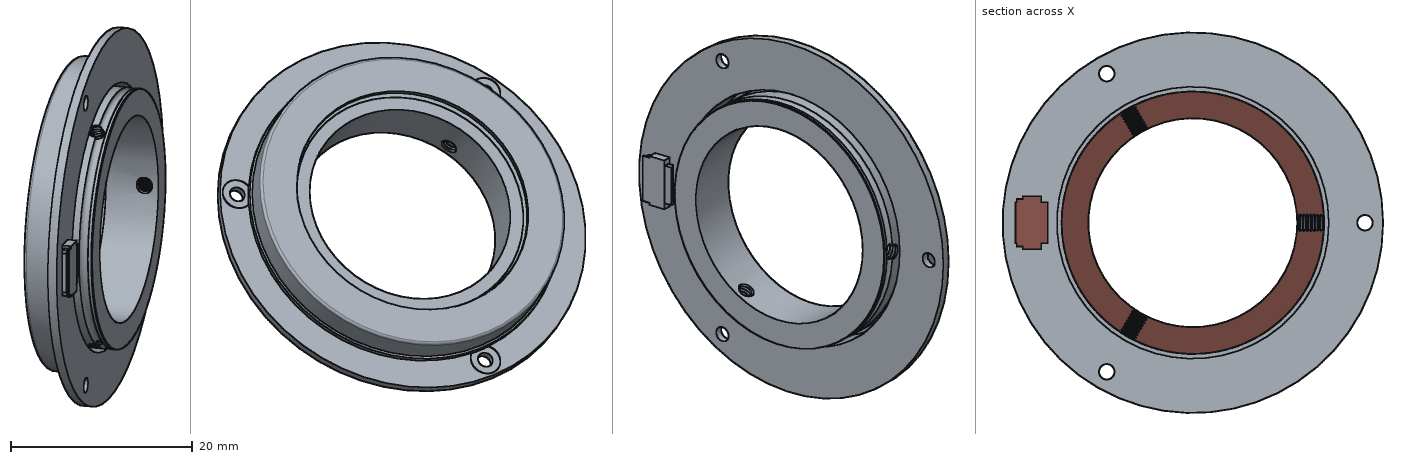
import cadquery as cq
import math

TOTAL_LENGTH = 7.0

CAP_DIAMETER = 35.0
CAP_LENGTH = 3.2
CAP_FRONT_THICKNESS = 0.5
CAP_FILLET = 0.3
CAP_MOUTH_DIAMETER = 26.6

SPIGOT_DIAMETER = 34.0
STEP_DIAMETER = 35.5
STEP_FRONT = 3.28
FLANGE_DIAMETER = 42.0
FLANGE_FRONT = 3.82
FLANGE_THICKNESS = 1.0
FLANGE_BACK = FLANGE_FRONT + FLANGE_THICKNESS
BASE_BORE_DIAMETER = 30.0

FLANGE_HOLE_DIAMETER = 1.7
FLANGE_HOLE_CIRCLE_RADIUS = 19.0
SPOTFACE_DIAMETER = 3.4
SPOTFACE_DEPTH = 0.1

INNER_FACE = 1.0
HUB_BORE_DIAMETER = 23.0
HUB_FRONT_DIAMETER = 26.0
HUB_SHOULDER = FLANGE_FRONT
NECK_DIAMETER = 29.0
NECK_TAPER_LENGTH = 0.13
NECK_TAPER_DEPTH = 0.05
GROOVE_CENTER = 6.0
GROOVE_WIDTH = 1.0
GROOVE_DEPTH = 0.5

RING_BORE_DIAMETER = 26.05
RING_DIAMETER = NECK_DIAMETER

THREAD_X = 5.4
THREAD_MAJOR_DIAMETER = 1.85
THREAD_MINOR_DIAMETER = 1.45
THREAD_PITCH = 0.38
THREAD_START = 10.9
THREAD_TURNS = 11

PATTERN_ANGLES = (0, 120, 240)

CONNECTOR_BACK = 5.9
SHELL_INNER_Y = -16.7
SHELL_OUTER_Y = -18.77
SHELL_WIDTH = 5.9
TAB_WIDTH = 4.55
TAB_FRONT = 5.05
TAB_OUTER_Y = -19.57
TAB_ROOT_WIDTH = 5.3
TAB_ROOT_OUTER_Y = -19.45
FLARE_FRONT = 5.55
LIP_FRONT = 5.7
LIP_WIDTH = 5.45
LIP_OUTER_Y = -19.65
NOSE_WIDTH = TAB_WIDTH
NOSE_TIP_Y = -15.85
NOSE_SHOULDER_Y = -16.13
NOSE_FRONT = 5.05
NOSE_TIP_FRONT = 5.4
NOSE_BACK = 5.75
FOOT_INNER_Y = -16.3
FOOT_WIDTH = 4.2


def disc(diameter, start, end):
    """Solid cylinder along X between two stations."""
    return cq.Workplane("YZ").workplane(offset=start).circle(diameter / 2).extrude(end - start)


def flange_hole_cylinders(diameter, depth):
    """One cylinder at each mounting hole, running back from the front of the flange."""
    centers = [
        (
            FLANGE_HOLE_CIRCLE_RADIUS * math.cos(math.radians(angle)),
            FLANGE_HOLE_CIRCLE_RADIUS * math.sin(math.radians(angle)),
        )
        for angle in PATTERN_ANGLES
    ]
    return (
        cq.Workplane("YZ").workplane(offset=FLANGE_FRONT)
        .pushPoints(centers).circle(diameter / 2).extrude(depth)
    )


def make_cap():
    shell = disc(CAP_DIAMETER, 0, CAP_LENGTH).faces("<X").edges().fillet(CAP_FILLET)
    cavity = disc(SPIGOT_DIAMETER, CAP_FRONT_THICKNESS, CAP_LENGTH)
    return shell.cut(cavity).cut(disc(CAP_MOUTH_DIAMETER, 0, CAP_FRONT_THICKNESS))


def make_base():
    flange = (
        disc(FLANGE_DIAMETER, FLANGE_FRONT, FLANGE_BACK)
        .cut(flange_hole_cylinders(FLANGE_HOLE_DIAMETER, FLANGE_THICKNESS))
        .cut(flange_hole_cylinders(SPOTFACE_DIAMETER, SPOTFACE_DEPTH))
    )
    step = disc(STEP_DIAMETER, STEP_FRONT, FLANGE_BACK)
    spigot = disc(SPIGOT_DIAMETER, INNER_FACE, STEP_FRONT)
    bore = disc(BASE_BORE_DIAMETER, INNER_FACE, FLANGE_BACK)
    return flange.union(step).union(spigot).cut(bore)


def make_threaded_hole(angle):
    """Cutter for one radial hole, its thread formed as a stack of V-shaped rings."""
    minor_radius = THREAD_MINOR_DIAMETER / 2
    major_radius = THREAD_MAJOR_DIAMETER / 2
    profile = [(0, THREAD_START), (minor_radius, THREAD_START)]
    for turn in range(THREAD_TURNS):
        turn_start = THREAD_START + turn * THREAD_PITCH
        profile.append((major_radius, turn_start + THREAD_PITCH / 2))
        profile.append((minor_radius, turn_start + THREAD_PITCH))
    profile.append((0, THREAD_START + THREAD_TURNS * THREAD_PITCH))
    cutter = cq.Workplane("XY").polyline(profile).close().revolve(360, (0, 0, 0), (0, 1, 0))
    return cutter.translate((THREAD_X, 0, 0)).rotate((0, 0, 0), (1, 0, 0), angle)


def make_hub():
    front_radius = HUB_FRONT_DIAMETER / 2
    neck_radius = NECK_DIAMETER / 2
    bore_radius = HUB_BORE_DIAMETER / 2
    profile = (
        cq.Workplane("XY")
        .moveTo(INNER_FACE, bore_radius)
        .lineTo(INNER_FACE, front_radius)
        .lineTo(HUB_SHOULDER, front_radius)
        .lineTo(HUB_SHOULDER, neck_radius)
        .lineTo(GROOVE_CENTER - GROOVE_WIDTH / 2, neck_radius)
        .threePointArc(
            (GROOVE_CENTER, neck_radius - GROOVE_DEPTH),
            (GROOVE_CENTER + GROOVE_WIDTH / 2, neck_radius),
        )
        .lineTo(TOTAL_LENGTH - NECK_TAPER_LENGTH, neck_radius)
        .lineTo(TOTAL_LENGTH, neck_radius - NECK_TAPER_DEPTH)
        .lineTo(TOTAL_LENGTH, bore_radius)
        .close()
    )
    hub = profile.revolve(360, (0, 0, 0), (1, 0, 0))
    for angle in PATTERN_ANGLES:
        hub = hub.cut(make_threaded_hole(angle))
    return hub


def make_ring():
    ring = disc(RING_DIAMETER, INNER_FACE, HUB_SHOULDER)
    return ring.cut(disc(RING_BORE_DIAMETER, INNER_FACE, HUB_SHOULDER))


def box_between(x_range, y_range, width):
    """Box between two X and two Y limits, centred on z = 0."""
    box = cq.Workplane("XY").box(
        x_range[1] - x_range[0], y_range[1] - y_range[0], width, centered=(False, False, True)
    )
    return box.translate((x_range[0], y_range[0], 0))


def make_flare():
    """Transition that widens from the tab to the lip."""
    tab_depth = SHELL_OUTER_Y - TAB_OUTER_Y
    lip_depth = SHELL_OUTER_Y - LIP_OUTER_Y
    return (
        cq.Workplane("YZ").workplane(offset=FLARE_FRONT)
        .center(SHELL_OUTER_Y - tab_depth / 2, 0).rect(tab_depth, TAB_WIDTH)
        .workplane(offset=LIP_FRONT - FLARE_FRONT)
        .center((tab_depth - lip_depth) / 2, 0).rect(lip_depth, LIP_WIDTH)
        .loft(ruled=True)
    )


def make_connector():
    shell = box_between((FLANGE_BACK, CONNECTOR_BACK), (SHELL_OUTER_Y, SHELL_INNER_Y), SHELL_WIDTH)
    tab = box_between((TAB_FRONT, FLARE_FRONT), (TAB_OUTER_Y, SHELL_OUTER_Y), TAB_WIDTH)
    tab_root = box_between(
        (TAB_FRONT, FLARE_FRONT), (TAB_ROOT_OUTER_Y, SHELL_OUTER_Y), TAB_ROOT_WIDTH
    )
    lip = box_between((LIP_FRONT, CONNECTOR_BACK), (LIP_OUTER_Y, SHELL_OUTER_Y), LIP_WIDTH)
    foot = box_between((FLANGE_BACK, NOSE_FRONT), (SHELL_INNER_Y, FOOT_INNER_Y), FOOT_WIDTH)
    nose = (
        cq.Workplane("XY")
        .moveTo(NOSE_FRONT, SHELL_INNER_Y)
        .lineTo(NOSE_FRONT, NOSE_SHOULDER_Y)
        .lineTo(NOSE_TIP_FRONT, NOSE_TIP_Y)
        .lineTo(NOSE_BACK, NOSE_TIP_Y)
        .lineTo(NOSE_BACK, SHELL_INNER_Y)
        .close()
        .extrude(NOSE_WIDTH / 2, both=True)
    )
    tail = tab.union(tab_root).union(make_flare()).union(lip)
    return shell.union(tail).union(nose).union(foot)


cap = make_cap()
base = make_base()
hub = make_hub()
ring = make_ring()
connector = make_connector()

result = cq.Compound.makeCompound(
    [cap.val(), base.val(), hub.val(), ring.val(), connector.val()]
)